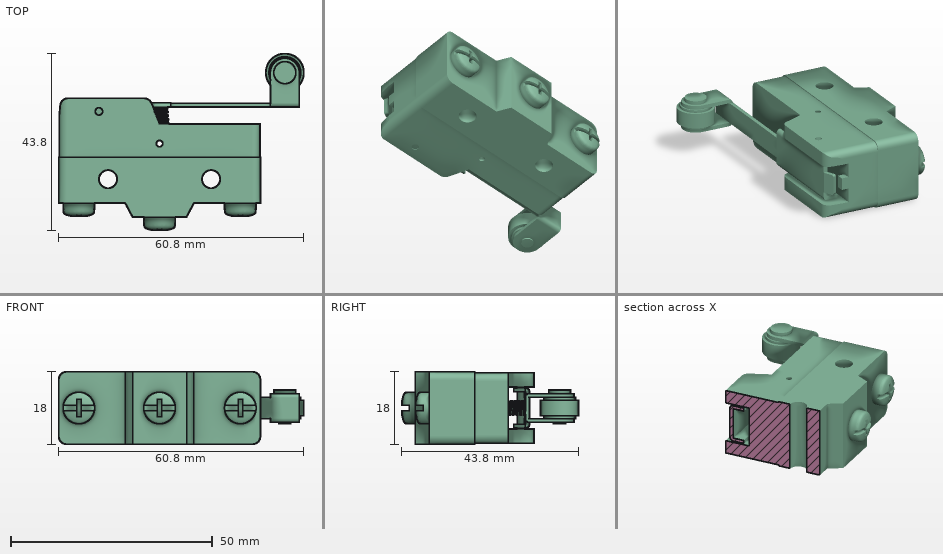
import cadquery as cq
import math


total_length = 60.8

base_length = 50.0
base_thickness = 18.0
base_height = 11.35
cover_end_step = 0.1
cover_side_step = 0.25
ledge_y = 19.6
tower_y = 26.0
edge_radius = 2.0
half_base = base_length / 2
half_cover = half_base - cover_end_step
cover_thickness = base_thickness - 2 * cover_side_step

bump_height = 3.45
bump_root_half = 8.5
bump_tip_half = 6.7

tower_foot_x = 0.05
tower_corner_x = -2.5
taper_start_y = 21.6
taper_inset = 0.4

mount_hole_spacing = 25.5
mount_hole_y = 5.95
mount_hole_radius = 2.22
pilot_hole_y = 14.75
pilot_hole_radius = 0.76

lever_slot_width = 10.4
end_lug_width = 3.1
end_lug_height = 1.9
end_lug_length = 2.0

screw_spacing = 20.0
screw_radius = 3.92
screw_wall = 1.8
screw_height = 3.3
screw_shoulder = (3.2, 2.85)
screw_dome = (1.95, 3.2)
drive_slot_width = 1.3
drive_slot_depth = 1.8
cross_slot_width = 1.1
cross_slot_length = 4.25
cross_slot_depth = 2.2

sheet = 1.0
sheet_bottom_y = 23.8
lever_half_width = 2.7
bracket_half_width = 5.0
bracket_left_x = -21.75
bracket_right_x = 2.75
bracket_top_y = 24.9
flange_bottom_y = 20.95
flange_end_x = -1.3
bend_radius = 1.05
pivot_x = -15.0
pivot_y = 22.7
pivot_radius = 0.9
pivot_recess = 0.2
tongue_tip_x = -24.6
tongue_drop = 1.2
tongue_tilt = 25.0
tongue_corner_radius = 0.55

roller_radius = 4.75
roller_x = total_length - half_base - roller_radius
roller_y = 32.3
roller_half_width = 1.95
hub_radius = 3.95
fork_half_width = 3.6
fork_arm_half = 3.6
rivet_head_radius = 2.75
rivet_head_z = 4.5
rivet_tail_radius = 1.5
rivet_tail_z = 3.95

spring_x = 0.5
spring_tilt = 4.5
spring_radius = 1.65
wire_radius = 0.21
spring_pitch = 0.955


def block(x0, x1, y0, y1, half_z):
    """Box between the given X and Y limits, centred on Z = 0."""
    return cq.Workplane("XY").box(x1 - x0, y1 - y0, 2 * half_z).translate(((x0 + x1) / 2, (y0 + y1) / 2, 0))


def disc(x, y, radius, z0, z1):
    """Cylinder along Z between two levels."""
    return cq.Workplane("XY").workplane(offset=z0).center(x, y).circle(radius).extrude(z1 - z0)


def plate(points, half_z):
    """Closed outline in XY extruded both ways from Z = 0."""
    return cq.Workplane("XY").polyline(points).close().extrude(half_z, both=True)


def make_base():
    base = block(-half_base, half_base, 0, base_height, base_thickness / 2).edges("|Y").fillet(edge_radius)
    bump_points = [
        (-bump_root_half, 0),
        (-bump_tip_half, -bump_height),
        (bump_tip_half, -bump_height),
        (bump_root_half, 0),
    ]
    return base.union(plate(bump_points, base_thickness / 2))


def make_cover():
    cover = block(-half_cover, half_cover, base_height, tower_y, cover_thickness / 2)
    cover = cover.edges("|Y").fillet(edge_radius)

    outline = plate(
        [
            (-half_cover, base_height),
            (-half_cover, taper_start_y),
            (-half_cover + taper_inset, tower_y),
            (tower_corner_x, tower_y),
            (tower_foot_x, ledge_y),
            (half_cover, ledge_y),
            (half_cover, base_height),
        ],
        cover_thickness,
    )
    tower_corners = cq.selectors.BoxSelector(
        (-half_base, tower_y - 0.6, -base_thickness), (0, tower_y + 0.6, base_thickness)
    )
    outline = outline.edges("|Z").edges(tower_corners).fillet(edge_radius)
    cover = cover.intersect(outline)

    cover = cover.cut(block(-half_base, half_base, ledge_y, tower_y, lever_slot_width / 2))
    lug = block(
        -half_cover, -half_cover + end_lug_length, ledge_y, ledge_y + end_lug_height, end_lug_width / 2
    )
    return cover.union(lug)


def drill(body):
    for x in (-mount_hole_spacing / 2, mount_hole_spacing / 2):
        body = body.cut(disc(x, mount_hole_y, mount_hole_radius, -base_thickness, base_thickness))
    body = body.cut(disc(pivot_x, pivot_y, pivot_radius, -base_thickness, base_thickness))
    return body.cut(disc(0, pilot_hole_y, pilot_hole_radius, -base_thickness, base_thickness))


def make_screw(x, seat_y):
    """Domed head pointing to -Y with a full slot and a short cross slot."""
    shoulder_radius, shoulder_height = screw_shoulder
    dome_radius, dome_height = screw_dome
    head = (
        cq.Workplane("XY")
        .lineTo(screw_radius, 0)
        .lineTo(screw_radius, -screw_wall)
        .spline(
            [(shoulder_radius, -shoulder_height), (dome_radius, -dome_height), (0, -screw_height)],
            tangents=[(0, -1), (-1, 0)],
            includeCurrent=True,
        )
        .close()
        .revolve(360, (0, 0, 0), (0, 1, 0))
    )
    clear_y = -2 * screw_height
    drive_floor = drive_slot_depth - screw_height
    head = head.cut(block(-screw_radius, screw_radius, clear_y, drive_floor, drive_slot_width / 2))
    half_cross = cross_slot_width / 2
    cross_floor = cross_slot_depth - screw_height
    head = head.cut(block(-half_cross, half_cross, clear_y, cross_floor, cross_slot_length / 2))
    return head.translate((x, seat_y, 0))


def make_tongue():
    """Narrow strip running from the rear of the bracket, bent down towards the body."""
    tilt = math.radians(tongue_tilt)
    tip_y = bracket_top_y - tongue_drop
    bend_x = tongue_tip_x + tongue_drop / math.tan(tilt)
    across = (sheet * math.sin(tilt), -sheet * math.cos(tilt))
    tongue = plate(
        [
            (bracket_left_x, bracket_top_y),
            (bend_x, bracket_top_y),
            (tongue_tip_x, tip_y),
            (tongue_tip_x + across[0], tip_y + across[1]),
            (bend_x + across[0], bracket_top_y + across[1]),
        ],
        lever_half_width,
    )
    tip_edges = cq.selectors.BoxSelector(
        (tongue_tip_x - sheet, tip_y - sheet, -base_thickness),
        (tongue_tip_x + sheet, tip_y, base_thickness),
    )
    return tongue.edges("not |Z").edges(tip_edges).fillet(tongue_corner_radius)


def make_lever():
    bracket = block(bracket_left_x, bracket_right_x, flange_bottom_y, bracket_top_y, bracket_half_width)
    bracket = bracket.edges("|X and >Y").fillet(bend_radius)
    web_bottom_y = sheet_bottom_y
    bracket = bracket.cut(
        block(bracket_left_x, bracket_right_x, flange_bottom_y, web_bottom_y, bracket_half_width - sheet)
    )
    bracket = bracket.cut(
        block(flange_end_x, bracket_right_x, flange_bottom_y, web_bottom_y, bracket_half_width)
    )

    sheet_top_y = sheet_bottom_y + sheet
    fork_left = roller_x - fork_arm_half
    fork_right = roller_x + fork_arm_half
    arm = block(flange_end_x, fork_left, sheet_bottom_y, sheet_top_y, lever_half_width)
    fork = block(fork_left, fork_right, sheet_bottom_y, roller_y, fork_half_width)
    fork = fork.edges("|X and <Y").fillet(bend_radius)
    fork = fork.union(disc(roller_x, roller_y, fork_arm_half, -fork_half_width, fork_half_width))
    fork = fork.cut(
        block(fork_left, fork_right, sheet_top_y, roller_y + roller_radius, fork_half_width - sheet)
    )
    return bracket.union(make_tongue()).union(arm).union(fork)


def make_roller():
    hub_half = fork_half_width - sheet
    roller = disc(roller_x, roller_y, roller_radius, -roller_half_width, roller_half_width)
    roller = roller.union(disc(roller_x, roller_y, hub_radius, -hub_half, hub_half))
    roller = roller.union(disc(roller_x, roller_y, rivet_head_radius, 0, rivet_head_z))
    return roller.union(disc(roller_x, roller_y, rivet_tail_radius, -rivet_tail_z, 0))


def make_pivot_pin():
    half_pin = cover_thickness / 2 - pivot_recess
    return disc(pivot_x, pivot_y, pivot_radius, -half_pin, half_pin)


def make_spring():
    """Coil standing on the ledge and pressing against the bracket, leaning to -X."""
    height = sheet_bottom_y - ledge_y
    path = cq.Wire.makeHelix(spring_pitch, height, spring_radius)
    coil = cq.Workplane("XZ", origin=(spring_radius, 0, 0)).circle(wire_radius).sweep(
        cq.Workplane(path), isFrenet=True
    )
    coil = coil.rotate((0, 0, 0), (1, 0, 0), -90)
    coil = coil.rotate((0, 0, 0), (0, 0, 1), spring_tilt)
    return coil.translate((spring_x, ledge_y, 0))


result = drill(make_base().union(make_cover()))
for screw_x, seat_y in ((-screw_spacing, 0), (0, -bump_height), (screw_spacing, 0)):
    result = result.union(make_screw(screw_x, seat_y))
result = result.union(make_lever()).union(make_roller()).union(make_pivot_pin()).union(make_spring())